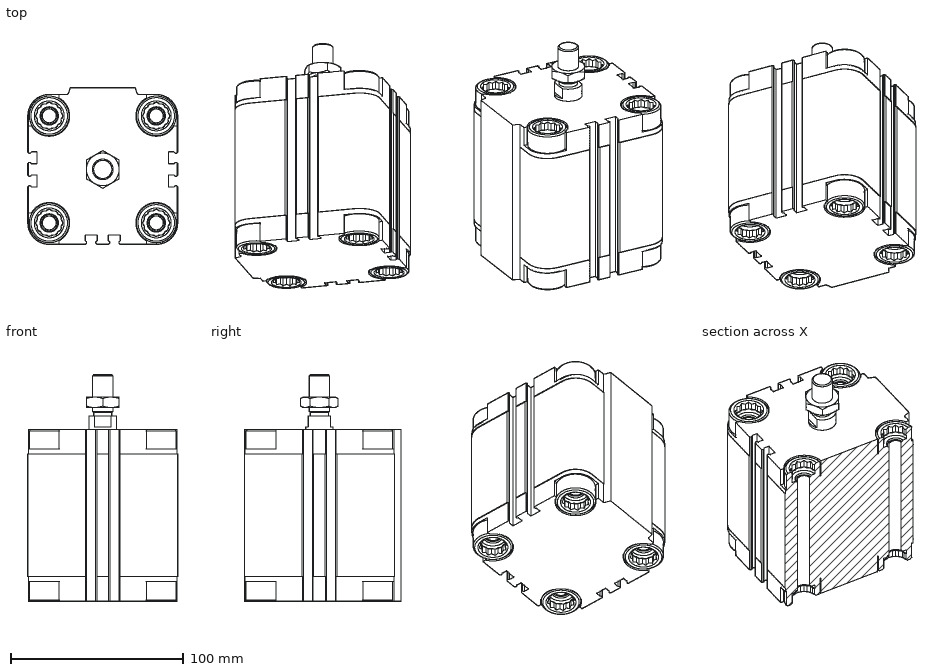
import cadquery as cq
import math

housing_height = 99.8
half_width = 43.5
cap_height = 14.5
cap_inset_x = 0.4
cap_inset_y = 0.1
bolt_offset = 31.0
corner_radius = half_width - bolt_offset
barrel_height = housing_height - 2 * cap_height

pad_y = 47.5
pad_top_half_width = 18.8
pad_shoulder_half_width = 19.2
pad_shoulder_y = 46.5
pad_foot_half_width = 19.9
pad_foot_y = 44.5
pad_base_half_width = 20.5

slot_offset = 6.7
slot_depth = 5.4
slot_half_width = 3.4
mouth_half_width = 2.6
lip_depth = 2.2
lip_slope = slot_half_width - mouth_half_width

pocket_diameter = 23.7
pocket_depth = 11.5
pocket_wall = 25.2
head_diameter = 23.0
head_chamfer = 0.9

socket_mouth_diameter = 17.4
socket_mouth_depth = 1.3
socket_corner_diameter = 15.9
socket_ridge_diameter = socket_corner_diameter * math.cos(math.radians(30)) / math.cos(math.radians(15))
socket_points = 12
socket_points_depth = 5.5
socket_depth = 8.0
socket_floor_diameter = 15.4
bolt_hole_diameter = 8.0
sink_diameter = 10.7
sink_floor_diameter = 9.7
sink_depth = 0.9

rod_diameter = 16.0
rod_across_flats = 13.0
rod_collar_height = 1.5
rod_shoulder_z = 107.6
neck_diameter = 10.7
thread_diameter = 12.0
thread_start_z = 110.2
thread_end_z = 131.5
thread_tip_diameter = 10.5

nut_across_flats = 19.0
nut_bottom_z = 112.4
nut_height = 6.0
nut_chamfer_angle = 30

reach = 13.2


def twelve_point_prism(height):
    """Star-shaped prism with twelve outward points, one of them on the X axis."""
    outline = []
    half_pitch = math.pi / socket_points
    for step in range(2 * socket_points):
        radius = socket_ridge_diameter / 2 if step % 2 else socket_corner_diameter / 2
        angle = half_pitch * step
        outline.append((radius * math.cos(angle), radius * math.sin(angle)))
    return cq.Workplane("XY").polyline(outline).close().extrude(height)


def turned(profile):
    """Body of revolution about Z from (radius, z) points."""
    return cq.Workplane("XZ").polyline(profile).close().revolve(360, (0, 0), (0, 1))


def rounded_block(inset_x, inset_y, height, z):
    """Block with rounded upright edges, set in from the barrel's side and front faces."""
    size_x = 2 * (half_width - inset_x)
    size_y = 2 * (half_width - inset_y)
    block = cq.Workplane("XY").rect(size_x, size_y).extrude(height)
    return block.edges("|Z").fillet(corner_radius - max(inset_x, inset_y)).translate((0, 0, z))


def back_pad():
    """Raised pad on the back, over the full height, with its flanks sloping in three steps."""
    right = [
        (pad_base_half_width, half_width - cap_inset_y),
        (pad_foot_half_width, pad_foot_y),
        (pad_shoulder_half_width, pad_shoulder_y),
        (pad_top_half_width, pad_y),
    ]
    left = [(-x, y) for x, y in reversed(right)]
    inner = [(-pad_base_half_width, 0), (pad_base_half_width, 0)]
    return cq.Workplane("XY").polyline(right + left + inner).close().extrude(housing_height)


def slot():
    """Undercut slot through the -Y face, centred on X = 0; its lips slope inwards from both sides."""
    face = -half_width
    right = [
        (slot_half_width, face - reach),
        (slot_half_width, face),
        (mouth_half_width, face + lip_slope),
        (mouth_half_width, face + lip_depth - lip_slope),
        (slot_half_width, face + lip_depth),
        (slot_half_width, face + slot_depth),
    ]
    left = [(-x, y) for x, y in reversed(right)]
    return cq.Workplane("XY").polyline(right + left).close().extrude(housing_height)


def slots():
    """A pair of slots in the front face and in each side face."""
    cutters = []
    for turn in (0, 90, -90):
        for offset in (-slot_offset, slot_offset):
            cutter = slot().translate((offset, 0, 0)).rotate((0, 0, 0), (0, 0, 1), turn)
            cutters.append(cutter.val())
    return cutters


def corner_pocket():
    """Top pocket around a bolt at the +X +Y corner, open to both outer faces."""
    z = housing_height - pocket_depth
    side = half_width - pocket_wall + reach
    bore = cq.Workplane("XY").center(bolt_offset, bolt_offset).circle(pocket_diameter / 2)
    bore = bore.extrude(pocket_depth)
    opening = cq.Workplane("XY").box(side, side, pocket_depth, centered=False)
    opening = opening.translate((pocket_wall, pocket_wall, 0))
    return bore.union(opening).translate((0, 0, z))


def bolt_head():
    """Round bolt head standing on the pocket floor, flush with the end of the housing."""
    head = cq.Workplane("XY").circle(head_diameter / 2).extrude(pocket_depth)
    head = head.faces(">Z").chamfer(head_chamfer)
    return head.translate((bolt_offset, bolt_offset, housing_height - pocket_depth))


def bolt_socket():
    """Twelve-point socket with a conical mouth and a floor recess, above the upper half of the hole."""
    top = housing_height
    floor_radius = socket_floor_diameter / 2
    hole_radius = bolt_hole_diameter / 2
    sink_floor_radius = sink_floor_diameter / 2
    floor_z = top - socket_depth
    sink_z = floor_z - sink_depth
    bore = turned([
        (0, top / 2),
        (hole_radius, top / 2),
        (hole_radius, sink_z),
        (sink_floor_radius, sink_z),
        (sink_diameter / 2, floor_z),
        (floor_radius, floor_z),
        (floor_radius, top - socket_points_depth),
        (0, top - socket_points_depth),
    ])
    mouth = turned([
        (0, top - socket_mouth_depth),
        (socket_ridge_diameter / 2, top - socket_mouth_depth),
        (socket_mouth_diameter / 2, top),
        (0, top),
    ])
    points = twelve_point_prism(socket_points_depth).translate((0, 0, top - socket_points_depth))
    bore = bore.union(points).union(mouth)
    return bore.translate((bolt_offset, bolt_offset, 0))


def at_all_corners(tool):
    """Copies of a top-corner tool at all four corners of both ends."""
    copies = []
    for turn in (0, 90, 180, 270):
        upper = tool.rotate((0, 0, 0), (0, 0, 1), turn)
        lower = upper.mirror("XY", (0, 0, housing_height / 2))
        copies += [upper.val(), lower.val()]
    return copies


def cut_all(body, tools):
    for tool in tools:
        body = body.cut(cq.Workplane(tool))
    return body


def make_housing():
    """Barrel, end caps and bolts as one body."""
    body = rounded_block(cap_inset_x, cap_inset_y, housing_height, 0)
    body = body.union(rounded_block(0, 0, barrel_height, cap_height))
    body = body.union(back_pad())
    body = cut_all(body, slots())
    body = cut_all(body, at_all_corners(corner_pocket()))
    for head in at_all_corners(bolt_head()):
        body = body.union(cq.Workplane(head))
    return cut_all(body, at_all_corners(bolt_socket()))


def make_piston_rod():
    """Rod with two spanner flats facing the front and back, a neck and a plain thread."""
    neck_radius = neck_diameter / 2
    thread_radius = thread_diameter / 2
    tip_radius = thread_tip_diameter / 2
    rod_radius = rod_diameter / 2
    rod = turned([
        (0, housing_height),
        (rod_radius, housing_height),
        (rod_radius, rod_shoulder_z),
        (neck_radius, rod_shoulder_z),
        (neck_radius, thread_start_z - (thread_radius - neck_radius)),
        (thread_radius, thread_start_z),
        (thread_radius, thread_end_z - (thread_radius - tip_radius)),
        (tip_radius, thread_end_z),
        (0, thread_end_z),
    ])
    collar_top = housing_height + rod_collar_height
    flats_height = rod_shoulder_z - collar_top
    for side in (-1, 1):
        flat = cq.Workplane("XY").box(
            2 * rod_diameter, rod_diameter, flats_height, centered=(True, True, False)
        )
        flat = flat.translate((0, side * (rod_across_flats + rod_diameter) / 2, collar_top))
        rod = rod.cut(flat)
    return rod


def make_nut():
    """Hexagon nut with two corners on the Y axis and conical chamfers on both faces."""
    bore_radius = thread_diameter / 2
    face_radius = nut_across_flats / 2
    tip_radius = face_radius / math.cos(math.radians(30))
    drop = (tip_radius - face_radius) * math.tan(math.radians(nut_chamfer_angle))
    envelope = turned([
        (bore_radius, 0),
        (face_radius, 0),
        (tip_radius, drop),
        (tip_radius, nut_height - drop),
        (face_radius, nut_height),
        (bore_radius, nut_height),
    ])
    prism = cq.Workplane("XY").polygon(6, 2 * tip_radius).extrude(nut_height)
    prism = prism.rotate((0, 0, 0), (0, 0, 1), 90)
    return prism.intersect(envelope).translate((0, 0, nut_bottom_z))


housing = make_housing()
piston_rod = make_piston_rod()
nut = make_nut()

result = cq.Compound.makeCompound([housing.val(), piston_rod.val(), nut.val()])